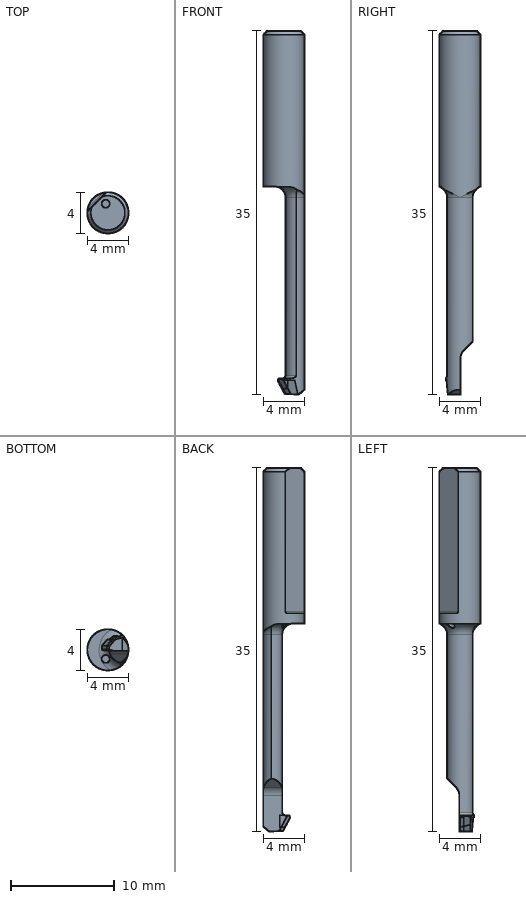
import cadquery as cq
import math


total_length = 35.0
shank_radius = 2.0
shank_bottom = 20.02
shank_chamfer = 0.35

flat_direction = 135.0
flat_distance = 1.5
flat_bottom = 21.0
flat_root_radius = 0.2

hole_x = -0.2
hole_y = 0.88
hole_radius = 0.4
hole_bottom = flat_bottom

front_arc_radius = 1.25
neck_left_x = 0.15
front_arc_center_x = neck_left_x + front_arc_radius
back_arc_radius = 1.35
back_arc_center_x = shank_radius - back_arc_radius
shank_flare_radius = 1.0
shank_flare_bottom = shank_bottom - shank_flare_radius

ledge_height = 1.58
ledge_drop = 0.18
head_flare_radius = 0.3
head_flare_top = ledge_height + head_flare_radius
head_depth = 1.4

reach = 3.5

heel_x = 0.07
heel_height = 0.07
toe_x = 1.4
toe_chamfer_height = 0.5
nose_side = (-0.55, 1.2)
nose_crest = (-0.6, 1.35)
nose_top_x = -0.5

relief_corners = [(0.2, -0.4), (0.7, -0.98), (2.1, -head_depth)]
edge_lean = (heel_x - nose_side[0]) / nose_side[1]

rake_y = 0.07
half_cut_top = 5.15
half_cut_arc_radius = 1.05
half_cut_angle = 45.0
rake_groove_width = 0.42
rake_groove_depth = 0.15

half_cut_turn = math.radians(half_cut_angle)
half_cut_arc_end_y = rake_y + half_cut_arc_radius * (1 - math.cos(half_cut_turn))
half_cut_arc_end = (half_cut_arc_end_y, half_cut_top - (front_arc_radius - half_cut_arc_end_y))
half_cut_arc_bottom = half_cut_arc_end[1] - half_cut_arc_radius * math.sin(half_cut_turn)
half_cut_arc_middle = (
    rake_y + half_cut_arc_radius * (1 - math.cos(half_cut_turn / 2)),
    half_cut_arc_bottom + half_cut_arc_radius * math.sin(half_cut_turn / 2),
)

tip_right_x = 0.4
tip_seat_front = 0.77
tip_seat_back = 0.42


def vertical_cylinder(radius, x, y, bottom, top):
    """Cylinder along Z between two heights."""
    return cq.Workplane("XY", origin=(x, y, bottom)).circle(radius).extrude(top - bottom)


def yz_prism(points, left, right):
    """Prism along X between two X positions, from an outline in Y and Z."""
    return cq.Workplane("YZ", origin=(left, 0, 0)).polyline(points).close().extrude(right - left)


def shank():
    """Chamfered round shank with a clamping flat that ends in a rounded step."""
    body = vertical_cylinder(shank_radius, 0, 0, shank_bottom, total_length)
    body = body.faces(">Z").chamfer(shank_chamfer)
    flat_cutter = (
        cq.Workplane("XY")
        .box(reach, 4 * shank_radius, total_length, centered=(False, True, False))
        .edges("<X and <Z")
        .edges("|Y")
        .fillet(flat_root_radius)
        .translate((flat_distance, 0, flat_bottom))
        .rotate((0, 0, 0), (0, 0, 1), flat_direction)
    )
    return body.cut(flat_cutter)


def flared_cylinder(radius, center_x, bottom, head_flare):
    """Round bar that flares out to the shank, and also to the head if asked."""
    diagonal = math.sqrt(0.5)
    profile = cq.Workplane("XZ", origin=(center_x, 0, 0)).moveTo(0, bottom)
    if head_flare:
        wide = radius + head_flare_radius
        profile = (
            profile.lineTo(wide, bottom)
            .lineTo(wide, ledge_height)
            .threePointArc(
                (wide - head_flare_radius * diagonal, head_flare_top - head_flare_radius * diagonal),
                (radius, head_flare_top),
            )
        )
    else:
        profile = profile.lineTo(radius, bottom)
    wide = radius + shank_flare_radius
    profile = (
        profile.lineTo(radius, shank_flare_bottom)
        .threePointArc(
            (wide - shank_flare_radius * diagonal, shank_flare_bottom + shank_flare_radius * diagonal),
            (wide, shank_bottom),
        )
        .lineTo(0, shank_bottom)
        .close()
    )
    return profile.revolve(360, (0, 0, 0), (0, 1, 0))


def leaning_prism(corners, height):
    """Prism that rises from an outline at Z = 0 and leans along the cutting edge."""
    outline = cq.Wire.makePolygon([cq.Vector(x, y, 0) for x, y in corners], close=True)
    rise = cq.Vector(-edge_lean * height, 0, height)
    return cq.Workplane(cq.Solid.extrudeLinear(outline, [], rise))


def relief_prism():
    """Leaning prism whose -X and -Y sides are the relief facets."""
    corners = [(heel_x, rake_y), *relief_corners, (2 * reach, -head_depth), (2 * reach, rake_y)]
    return leaning_prism(corners, head_flare_top)


def neck():
    """Lens-shaped neck with flared ends, cut down to rake level near the head."""
    bottom = ledge_height - ledge_drop
    front = flared_cylinder(front_arc_radius, front_arc_center_x, bottom, True)
    back = flared_cylinder(back_arc_radius, back_arc_center_x, bottom, False)
    bar = front.intersect(back)
    bar = bar.intersect(vertical_cylinder(shank_radius, 0, 0, 0, shank_bottom))
    half_cut = (
        cq.Workplane("YZ", origin=(-reach, 0, 0))
        .moveTo(rake_y, 0)
        .lineTo(rake_y, half_cut_arc_bottom)
        .threePointArc(half_cut_arc_middle, half_cut_arc_end)
        .lineTo(front_arc_radius, half_cut_top)
        .lineTo(reach, half_cut_top + reach - front_arc_radius)
        .lineTo(reach, 0)
        .close()
        .extrude(2 * reach)
    )
    return bar.cut(half_cut)


def head():
    """Whole head: hooked outline, sloping ledge and relief facets."""
    outline = (
        cq.Workplane("XZ", origin=(0, rake_y, 0))
        .moveTo(heel_x, heel_height)
        .lineTo(toe_x, 0)
        .lineTo(shank_radius, toe_chamfer_height)
        .lineTo(shank_radius, ledge_height)
        .lineTo(nose_top_x, ledge_height)
        .threePointArc(nose_crest, nose_side)
        .close()
        .extrude(2 * head_depth)
    )
    back = vertical_cylinder(back_arc_radius, back_arc_center_x, 0, 0, ledge_height)
    below_ledge = yz_prism(
        [(rake_y, 0), (rake_y, ledge_height), (-head_depth, ledge_height - ledge_drop), (-head_depth, 0)],
        -reach,
        reach,
    )
    return outline.intersect(back).intersect(below_ledge).intersect(relief_prism())


def rake_groove():
    """Sloping rake along the cutting edge, deepest on the edge and fading out towards +X."""
    corners = [
        (heel_x - rake_groove_width, rake_y - 2 * rake_groove_depth),
        (heel_x + rake_groove_width, rake_y),
        (heel_x - rake_groove_width, rake_y),
    ]
    return leaning_prism(corners, head_flare_top)


def tip_envelope():
    """Space on the nose side of the head that belongs to the cutting tip."""
    seat = [
        (rake_y, tip_seat_back),
        (rake_y, ledge_height),
        (-head_depth, ledge_height),
        (-head_depth, tip_seat_front),
    ]
    return yz_prism(seat, -reach, tip_right_x)


def bar_body(whole_head, tip_to_seat):
    """Shank, neck and head in one piece, with a seat that the cutting tip fills."""
    coolant_hole = vertical_cylinder(hole_radius, hole_x, hole_y, hole_bottom, total_length)
    coolant_outlet = vertical_cylinder(hole_radius, hole_x, hole_y, shank_flare_bottom, shank_bottom)
    lower = neck().cut(coolant_outlet).union(whole_head)
    return shank().cut(coolant_hole).union(lower).cut(tip_to_seat)


grooved_head = head().cut(rake_groove())
tip = grooved_head.intersect(tip_envelope())
bar = bar_body(grooved_head, tip)

result = cq.Compound.makeCompound([bar.val(), tip.val()])